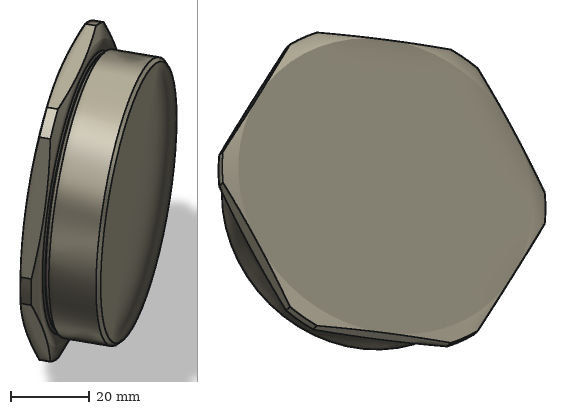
import cadquery as cq
import math

total_length = 20.3
head_thickness = 5.0
across_flats = 80.0
corner_diameter = 88.0
head_chamfer_depth = 1.05
body_diameter = 74.9
groove_diameter = 72.65
groove_head_side_depth = 0.5
groove_floor_width = 0.2
body_end_chamfer = 1.0

flat_radius = across_flats / 2
corner_radius = corner_diameter / 2
body_radius = body_diameter / 2
groove_radius = groove_diameter / 2
groove_floor_start = head_thickness + groove_head_side_depth
groove_floor_end = groove_floor_start + groove_floor_width
groove_body_side_depth = body_radius - groove_radius


def revolve_about_x(profile_points):
    """Turn a closed (x, radius) outline about the X axis."""
    profile = cq.Workplane("XY").polyline(profile_points).close()
    return profile.revolve(360, (0, 0, 0), (1, 0, 0))


def make_head():
    """Hexagon with rounded corners, chamfered on both faces."""
    hexagon_corner_diameter = across_flats / math.cos(math.radians(30))
    hexagon = cq.Workplane("YZ").polygon(6, hexagon_corner_diameter).extrude(head_thickness)
    envelope = revolve_about_x([
        (0, 0),
        (0, flat_radius),
        (head_chamfer_depth, corner_radius),
        (head_thickness - head_chamfer_depth, corner_radius),
        (head_thickness, flat_radius),
        (head_thickness, 0),
    ])
    return hexagon.intersect(envelope)


def make_body():
    """Round body with a 45 degree V groove next to the head and a chamfered far end."""
    return revolve_about_x([
        (0, 0),
        (0, groove_radius + groove_head_side_depth),
        (head_thickness, groove_radius + groove_head_side_depth),
        (groove_floor_start, groove_radius),
        (groove_floor_end, groove_radius),
        (groove_floor_end + groove_body_side_depth, body_radius),
        (total_length - body_end_chamfer, body_radius),
        (total_length, body_radius - body_end_chamfer),
        (total_length, 0),
    ])


result = make_head().union(make_body())